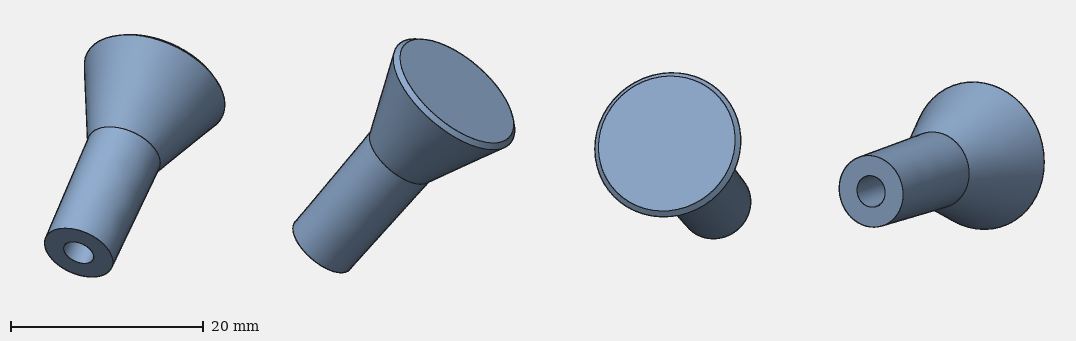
import cadquery as cq
import math

length = 24.0
head_diameter = 15.5
rim_chamfer = 0.5

stem_length = 14.0
stem_tip_diameter = 7.54
stem_root_diameter = 8.02

hole_diameter = 3.3
hole_depth = 12.0
drill_point_angle = 120.0


def make_body():
    """Revolve the stem, flared head and chamfered rim about Y."""
    head_radius = head_diameter / 2
    return (
        cq.Workplane("XY")
        .lineTo(stem_tip_diameter / 2, 0)
        .lineTo(stem_root_diameter / 2, stem_length)
        .lineTo(head_radius, length - rim_chamfer)
        .lineTo(head_radius - rim_chamfer, length)
        .lineTo(0, length)
        .close()
        .revolve(360, (0, 0), (0, 1))
    )


def make_hole():
    """Revolve a drilled hole with a conical bottom about Y."""
    hole_radius = hole_diameter / 2
    point_depth = hole_radius / math.tan(math.radians(drill_point_angle / 2))
    return (
        cq.Workplane("XY")
        .lineTo(hole_radius, 0)
        .lineTo(hole_radius, hole_depth)
        .lineTo(0, hole_depth + point_depth)
        .close()
        .revolve(360, (0, 0), (0, 1))
    )


result = make_body().cut(make_hole())